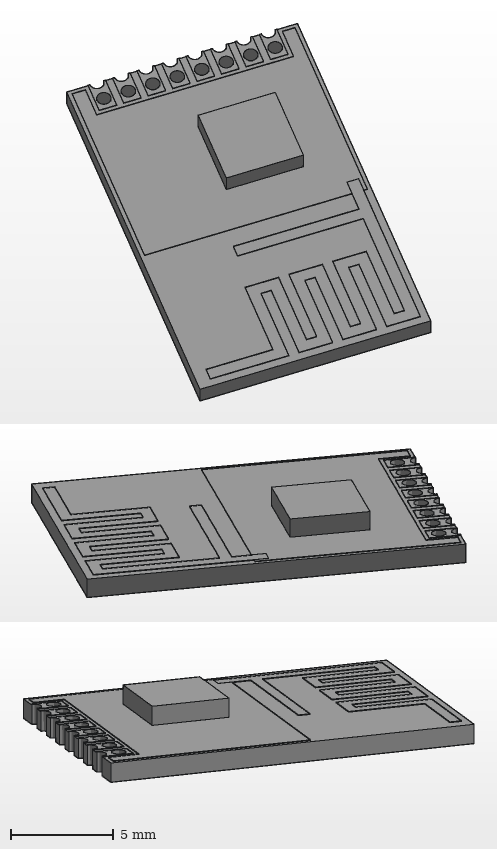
import cadquery as cq

board_length = 19.0
board_width = 12.0
board_thickness = 0.99
overall_height = 2.0
left_edge = -board_length / 2
right_edge = board_length / 2
top_edge = board_width / 2

copper_thickness = 0.035
antenna_thickness = 0.04

pad_count = 8
pad_pitch = 1.27
pad_length = 1.6
pad_width = 0.91
hole_diameter = 0.7
hole_inset = 1.0
pad_row_centre_y = 0.02
pad_row_width = (pad_count - 1) * pad_pitch + pad_width
pad_centres_y = [pad_row_centre_y + (i - (pad_count - 1) / 2) * pad_pitch for i in range(pad_count)]

ground_clearance = 0.2
ground_right = left_edge + 10.53

chip_size = 4.0
chip_centre_x = left_edge + 6.2
chip_centre_y = 1.31

trace_width = 0.6
antenna_margin = 0.4
antenna_right = right_edge - antenna_margin
antenna_top = top_edge - antenna_margin
feed_left = left_edge + 9.8
stub_left = left_edge + 11.51
stub_bottom = top_edge - 7.55
meander_left = right_edge - 4.98
meander_rows = 7
meander_pitch = 1.14
tail_bottom = -top_edge + 0.68


def slab(x_min, x_max, y_min, y_max, z_min, z_max):
    """Axis-aligned block between the given limits."""
    size = (x_max - x_min, y_max - y_min, z_max - z_min)
    return cq.Workplane("XY").box(*size, centered=False).translate((x_min, y_min, z_min))


def on_board(x_min, x_max, y_min, y_max, thickness):
    """Block resting on the upper face of the board."""
    return slab(x_min, x_max, y_min, y_max, board_thickness, board_thickness + thickness)


def make_ground():
    y_limit = top_edge - ground_clearance
    notch_right = left_edge + pad_length + ground_clearance
    notch_half_width = pad_row_width / 2 + ground_clearance
    notch_bottom = pad_row_centre_y - notch_half_width
    notch_top = pad_row_centre_y + notch_half_width
    plane = on_board(left_edge + ground_clearance, ground_right, -y_limit, y_limit, copper_thickness)
    notch = on_board(left_edge, notch_right, notch_bottom, notch_top, copper_thickness)
    return plane.cut(notch)


def make_pad(y):
    return on_board(left_edge, left_edge + pad_length, y - pad_width / 2, y + pad_width / 2, copper_thickness)


def make_antenna():
    def trace(x_min, x_max, y_min, y_max):
        return on_board(x_min, x_max, y_min, y_max, antenna_thickness)

    row_tops = [antenna_top - i * meander_pitch for i in range(meander_rows)]

    antenna = trace(feed_left, antenna_right, antenna_top - trace_width, antenna_top)
    antenna = antenna.union(trace(stub_left, stub_left + trace_width, stub_bottom, antenna_top))

    for i in range(1, meander_rows):
        row_bottom = row_tops[i] - trace_width
        link_left = antenna_right - trace_width if i % 2 == 1 else meander_left
        antenna = antenna.union(trace(meander_left, antenna_right, row_bottom, row_tops[i]))
        antenna = antenna.union(trace(link_left, link_left + trace_width, row_bottom, row_tops[i - 1]))

    return antenna.union(trace(antenna_right - trace_width, antenna_right, tail_bottom, row_tops[-1]))


def make_chip():
    height = overall_height - board_thickness
    chip = cq.Workplane("XY").box(chip_size, chip_size, height, centered=(True, True, False))
    return chip.translate((chip_centre_x, chip_centre_y, board_thickness))


def make_holes():
    centres = [(x, y) for x in (left_edge, left_edge + hole_inset) for y in pad_centres_y]
    return cq.Workplane("XY").pushPoints(centres).circle(hole_diameter / 2).extrude(overall_height)


board = slab(left_edge, right_edge, -top_edge, top_edge, 0, board_thickness)
board = board.union(make_ground())
for pad_y in pad_centres_y:
    board = board.union(make_pad(pad_y))
board = board.union(make_antenna()).union(make_chip())

result = board.cut(make_holes())